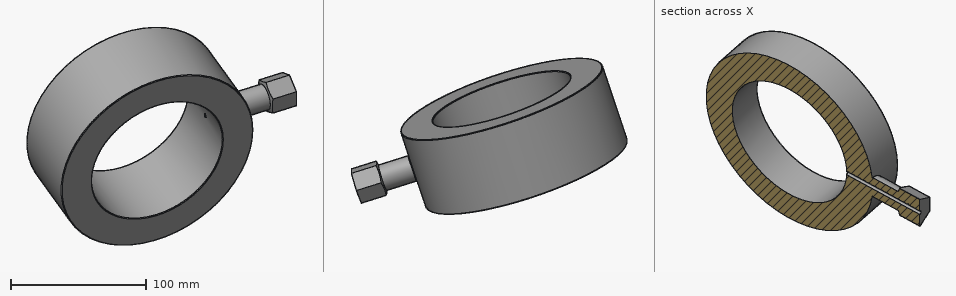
import cadquery as cq
import math

ring_diameter = 157.1
bore_diameter = 107.0
ring_width = 60.0
ring_chamfer = 0.6

total_length = 201.2
stem_diameter = 20.0
stem_contact_diameter = 18.7
hex_across_flats = 24.0
hex_length = 20.5
hex_chamfer_diameter = stem_diameter
hex_chamfer_angle = 18.0
port_diameter = 3.0

ring_radius = ring_diameter / 2
bore_radius = bore_diameter / 2
connector_end = total_length - ring_radius
hex_start = connector_end - hex_length
hex_across_corners = hex_across_flats / math.cos(math.radians(30))
foot_bevel = (stem_diameter - stem_contact_diameter) / 2


def cylinder_along_y(diameter, start, end):
    return cq.Workplane("XZ", origin=(0, start, 0)).circle(diameter / 2).extrude(start - end)


def make_ring():
    ring = cq.Workplane("YZ").circle(ring_radius).circle(bore_radius).extrude(ring_width / 2, both=True)
    return ring.faces("<X or >X").edges().chamfer(ring_chamfer)


def make_stem():
    """Stem whose foot follows the round ring surface, bevelled along the saddle-shaped edge."""
    ring_envelope = cq.Workplane("YZ").circle(ring_radius).extrude(ring_width / 2, both=True)
    stem = cylinder_along_y(stem_diameter, 0, hex_start).cut(ring_envelope)
    return stem.faces("<Y").edges().chamfer(foot_bevel)


def make_hex():
    """Hexagon with flats facing X, its corners bevelled on the side facing the ring."""
    prism = (
        cq.Workplane("XZ", origin=(0, hex_start, 0))
        .transformed(rotate=(0, 0, 90))
        .polygon(6, hex_across_corners)
        .extrude(-hex_length)
    )
    small_radius = hex_chamfer_diameter / 2
    large_radius = hex_across_corners
    cone_length = (large_radius - small_radius) * math.tan(math.radians(hex_chamfer_angle))
    bevel_envelope = (
        cq.Workplane("XY")
        .moveTo(0, hex_start)
        .lineTo(small_radius, hex_start)
        .lineTo(large_radius, hex_start + cone_length)
        .lineTo(large_radius, connector_end)
        .lineTo(0, connector_end)
        .close()
        .revolve(360, (0, 0, 0), (0, 1, 0))
    )
    return prism.intersect(bevel_envelope)


port = cylinder_along_y(port_diameter, 0, connector_end)

result = make_ring().union(make_stem()).union(make_hex()).cut(port)